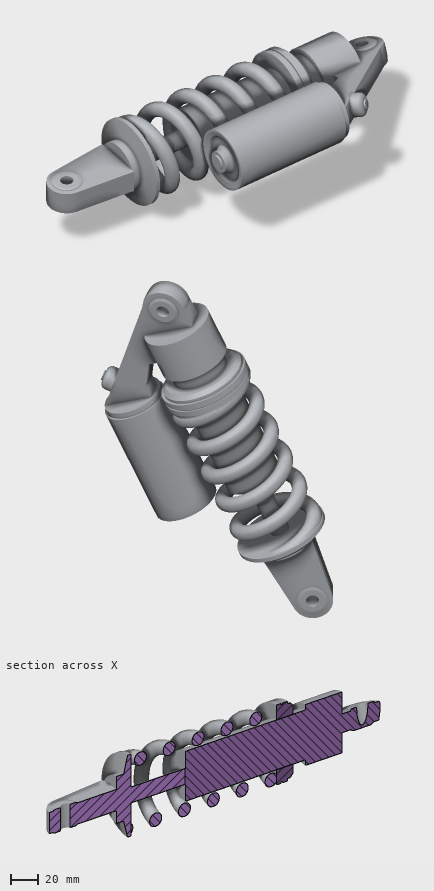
import cadquery as cq
import math


body_tilt = 18.9

eye_hole_radius = 5.0
bush_radius = 11.2
bush_bevel = 1.8
lower_bush_stand_off = 1.0
upper_bush_stand_off = 1.5
lower_eye_radius = 15.2
upper_eye_radius = 16.0
upper_eye_crown = 0.5
overall_length = 303.8
upper_eye_y = overall_length - lower_eye_radius - upper_eye_radius - upper_eye_crown

lower_lug_thickness = 18.2
lower_neck_radius = 20.0
lower_neck_bottom = 46.8
seat_radius = 34.5
seat_cone_bottom = 53.2
seat_cone_top = 56.8
seat_top = 60.2
rod_radius = 7.3

tube_radius = 21.3
tube_bottom = 110.0
head_radius = 25.8
head_bottom = 219.7
head_top = 253.5

reservoir_offset = 62.0
reservoir_radius = 24.3
reservoir_bottom = 99.7
reservoir_top = 194.8
reservoir_neck_radius = 22.5
reservoir_neck_top = 199.3
reservoir_rim_width = 1.8
rim_bevel_radius = 19.0
rim_bevel_depth = 1.2
recess_radius = 17.5
recess_depth = 3.0
valve_base_radius = 11.2
valve_radius = 8.5
valve_shoulder = 96.0
valve_tip_radius = 5.8
valve_tip = 94.2

arm_thickness = 15.2
arm_edge_radius = 15.5
arm_end_x = 82.5
arm_inner_x = 43.5
arm_inner_y = 209.0
arm_notch_x = 32.2
arm_notch_y = 228.0

knob_x = 69.5
knob_radius = 9.0
knob_height = 8.8
knob_rounding = 4.0
knob_tip_radius = 4.0
knob_tip_height = 1.2

collar_radius = 33.7
collar_bottom = 193.0
collar_band_top = 203.5
collar_step_radius = 31.5
collar_chamfer_bottom = 206.0
collar_top = 208.7
collar_top_radius = 28.3
groove_y = 198.0
groove_width = 1.2
groove_depth = 1.2

wire_radius = 5.8
coil_pitch = 26.5
coil_turns = 6
coil_start = 49.2


def cylinder_y(radius, bottom, top):
    """Cylinder around the shock axis from bottom to top."""
    return (
        cq.Workplane("XZ", origin=(0, bottom, 0))
        .circle(radius)
        .extrude(bottom - top)
    )


def revolve_y(profile, x=0):
    """Solid of revolution about a line along Y from (radius, y) points."""
    return (
        cq.Workplane("XY", origin=(x, 0, 0))
        .polyline(profile)
        .close()
        .revolve(360, (0, 0), (0, 1))
    )


def with_bushed_eye(lug, y, lug_thickness, stand_off):
    """Add a bevelled bush that stands proud of both faces of a lug and drill the eye."""
    height = lug_thickness + 2 * stand_off
    bush_start = cq.Workplane("XY", origin=(0, y, -height / 2))
    bush = (
        bush_start
        .circle(bush_radius)
        .extrude(height)
        .faces("<Z or >Z")
        .chamfer(stand_off / 2, bush_bevel)
    )
    hole = bush_start.circle(eye_hole_radius).extrude(height)
    return lug.union(bush).cut(hole)


def make_lower_mount():
    """Tapered lug with its eye, neck, spring seat and the rod up to the tube."""
    lug = (
        cq.Workplane("XY", origin=(0, 0, -lower_lug_thickness / 2))
        .moveTo(-lower_neck_radius, lower_neck_bottom)
        .lineTo(-lower_eye_radius, 0)
        .threePointArc((0, -lower_eye_radius), (lower_eye_radius, 0))
        .lineTo(lower_neck_radius, lower_neck_bottom)
        .close()
        .extrude(lower_lug_thickness)
    )
    seat_and_rod = revolve_y([
        (0, lower_neck_bottom),
        (lower_neck_radius, lower_neck_bottom),
        (lower_neck_radius, seat_cone_bottom),
        (seat_radius, seat_cone_top),
        (seat_radius, seat_top),
        (rod_radius, seat_top),
        (rod_radius, tube_bottom),
        (0, tube_bottom),
    ])
    return with_bushed_eye(lug, 0, lower_lug_thickness, lower_bush_stand_off).union(seat_and_rod)


def arm_slope():
    """Angle below +X of the sloping edge, which runs from the arm's end corner past the upper eye."""
    drop = upper_eye_y - reservoir_neck_top
    return math.atan2(drop, arm_end_x) + math.asin(arm_edge_radius / math.hypot(arm_end_x, drop))


def make_arm():
    """Flat arm from the upper eye to the reservoir; the eye itself rounds off its upper end."""
    slope = arm_slope()
    edge_start = (
        arm_edge_radius * math.sin(slope),
        upper_eye_y + arm_edge_radius * math.cos(slope),
    )
    return (
        cq.Workplane("XY", origin=(0, 0, -arm_thickness / 2))
        .moveTo(-upper_eye_radius, arm_notch_y)
        .lineTo(-upper_eye_radius, upper_eye_y)
        .lineTo(*edge_start)
        .lineTo(arm_end_x, reservoir_neck_top)
        .lineTo(arm_inner_x, reservoir_neck_top)
        .lineTo(arm_inner_x, arm_inner_y)
        .lineTo(arm_notch_x, arm_notch_y)
        .close()
        .extrude(arm_thickness)
    )


def make_upper_eye():
    """Barrel-shaped eye, as thick as the arm and widest at mid thickness."""
    half = arm_thickness / 2
    return (
        cq.Workplane("XZ", origin=(0, upper_eye_y, 0))
        .moveTo(0, -half)
        .lineTo(upper_eye_radius, -half)
        .threePointArc((upper_eye_radius + upper_eye_crown, 0), (upper_eye_radius, half))
        .lineTo(0, half)
        .close()
        .revolve(360, (0, 0), (0, 1))
    )


def make_reservoir():
    """Reservoir with a necked top and a valve in its recessed bottom."""
    recess_floor = reservoir_bottom + recess_depth
    return revolve_y([
        (0, valve_tip),
        (valve_tip_radius, valve_tip),
        (valve_tip_radius, valve_shoulder),
        (valve_radius, valve_shoulder),
        (valve_radius, reservoir_bottom),
        (valve_base_radius, recess_floor),
        (recess_radius, recess_floor),
        (rim_bevel_radius, reservoir_bottom + rim_bevel_depth),
        (reservoir_radius - reservoir_rim_width, reservoir_bottom),
        (reservoir_radius, reservoir_bottom),
        (reservoir_radius, reservoir_top),
        (reservoir_neck_radius, reservoir_top),
        (reservoir_neck_radius, reservoir_neck_top),
        (0, reservoir_neck_top),
    ], reservoir_offset)


def make_knob():
    """Rounded knob standing square on the sloping edge of the arm."""
    slope = arm_slope()
    knob_y = reservoir_neck_top + (arm_end_x - knob_x) * math.tan(slope)
    seat = cq.Plane(
        origin=(knob_x, knob_y, 0),
        xDir=(0, 0, 1),
        normal=(math.sin(slope), math.cos(slope), 0),
    )
    return (
        cq.Workplane(seat)
        .circle(knob_radius)
        .extrude(knob_height)
        .faces(cq.selectors.DirectionNthSelector(seat.zDir, -1))
        .edges()
        .fillet(knob_rounding)
        .union(cq.Workplane(seat).circle(knob_tip_radius).extrude(knob_height + knob_tip_height))
    )


def make_upper_body():
    """Upper eye, arm, head, tube, reservoir and knob as one tilted solid."""
    arm = with_bushed_eye(
        make_arm().union(make_upper_eye()),
        upper_eye_y,
        arm_thickness,
        upper_bush_stand_off,
    )
    body = (
        arm
        .union(cylinder_y(head_radius, head_bottom, head_top))
        .union(cylinder_y(tube_radius, tube_bottom, head_bottom))
        .union(make_reservoir())
        .union(make_knob())
    )
    return body.rotate((0, 0, 0), (0, 1, 0), -body_tilt)


def make_collar():
    """Grooved collar around the tube that holds the top of the spring."""
    groove_floor = collar_radius - groove_depth
    return revolve_y([
        (tube_radius, collar_bottom),
        (collar_radius, collar_bottom),
        (collar_radius, groove_y - groove_width / 2),
        (groove_floor, groove_y - groove_width / 2),
        (groove_floor, groove_y + groove_width / 2),
        (collar_radius, groove_y + groove_width / 2),
        (collar_radius, collar_band_top),
        (collar_step_radius, collar_band_top),
        (collar_step_radius, collar_chamfer_bottom),
        (collar_top_radius, collar_top),
        (tube_radius, collar_top),
    ]).rotate((0, 0, 0), (0, 1, 0), -body_tilt)


def make_spring():
    """Round-wire coil with its ends ground flat on the seat and the collar."""
    coil_radius = collar_radius - wire_radius
    helix = cq.Wire.makeHelix(coil_pitch, coil_turns * coil_pitch, coil_radius)
    coil = (
        cq.Workplane("XZ", origin=(coil_radius, 0, 0))
        .circle(wire_radius)
        .sweep(cq.Workplane(helix), isFrenet=True)
        .rotate((0, 0, 0), (1, 0, 0), -90)
        .translate((0, coil_start, 0))
    )
    return coil.intersect(cylinder_y(seat_radius, seat_top, collar_bottom))


lower_mount = make_lower_mount()
upper_body = make_upper_body()
collar = make_collar()
spring = make_spring()

result = cq.Compound.makeCompound([
    lower_mount.solids().val(),
    upper_body.solids().val(),
    collar.solids().val(),
    spring.solids().val(),
])